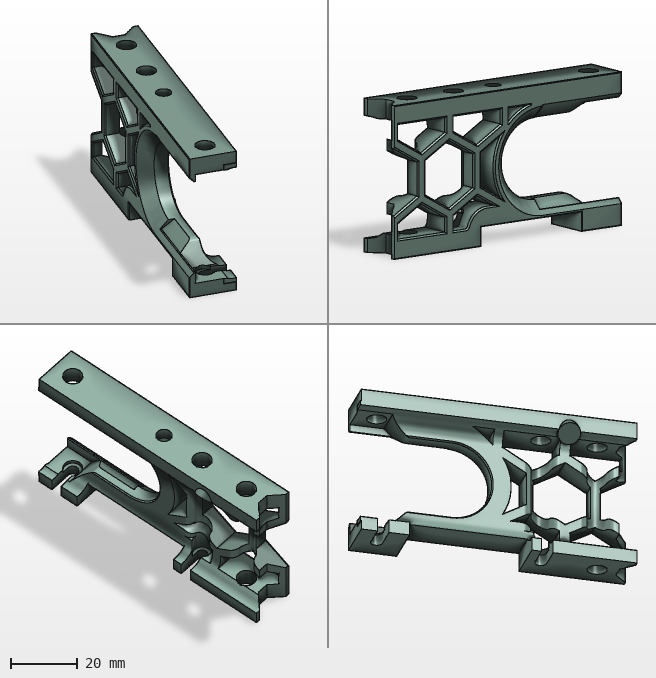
import cadquery as cq
import math

LENGTH = 85.75
DEPTH = 15.0
HEIGHT = 47.0
MID_Z = HEIGHT / 2
OVERRUN = 1.0
WINDOW_BEVEL = 0.5
OUTER_BEVEL = 0.25

WEB_DEPTH = 9.0
LOWER_RAIL = 4.25
UPPER_RAIL = 5.25
RECESS_RADIUS = 5.0

OPENING_X = 56.0
OPENING_RADIUS = 12.5
OPENING_FRONT_RADIUS = 16.75
CONE_DEPTH = OPENING_FRONT_RADIUS - OPENING_RADIUS
UPPER_ARM_FRONT_Z = 40.6
LEDGE_Y = 2.0
LEDGE_RISE = 1.5
SLOPE_END_Y = 6.15
ARM_END_X = 69.75
ARM_END_RADIUS = 2.5
BACK_BEVEL = 0.4
ARM_FLOOR_EXTRA = 0.35

CUTOUT_LEFT = 32.75
CUTOUT_RIGHT = 70.75
CUTOUT_HEIGHT = 6.0

CELL_PITCH = 21.0
CELL_WALL = 3.0
CELL_X = 20.75
WINDOW_LEFT = 1.5
WINDOW_BORDER = 6.0
RING_RADIUS = 18.5
SHELF_TOP = 12.0
BUMP_RADIUS = 7.5
BUMP_X = 35.0
BUMP_Z = SHELF_TOP - BUMP_RADIUS
FOOT_RADIUS = 1.0
POST_RIGHT = 22.5
WINDOW_RIGHT = 51.25

NOTCH_DEPTH = 4.0
NOTCH_HALF_MOUTH = 6.0

HOLE_Y = DEPTH / 2
HOLE_DIAMETER = 6.0
THROUGH_HOLE_X = 10.4
KEYHOLE_XS = (27.9, 78.9)
MOUTH_RADIUS = 2.5
KEYHOLE_FLOOR = 3.5
KEYHOLE_SLOT = 3.6
BLIND_HOLE_X = 42.9
BLIND_HOLE_DIAMETER = 4.8
BLIND_HOLE_DEPTH = 4.0

DISC_X = 20.9
DISC_DIAMETER = 7.0
DISC_LENGTH = 4.0
DISC_REACH_Y = 16.75

NIB_THICKNESS = 0.25
NIB_FRONT_Y = 11.0
NIB_HEIGHT = 1.4


def box(x0, x1, y0, y1, z0, z1):
    return cq.Workplane("XY").box(x1 - x0, y1 - y0, z1 - z0, centered=False).translate((x0, y0, z0))


def front_plane():
    """Plane parallel to the front, normal pointing to the back; local x is X, local y is -Z."""
    return cq.Workplane(cq.Plane(origin=(0, 0, 0), xDir=(1, 0, 0), normal=(0, 1, 0)))


def make_block():
    block = box(0, LENGTH, 0, DEPTH, 0, HEIGHT)
    block = block.cut(box(CUTOUT_LEFT, CUTOUT_RIGHT, 0, DEPTH, 0, CUTOUT_HEIGHT))
    front_edges = block.faces("<Y").edges("not(<X)").vals()
    return cq.Workplane(block.val().chamfer(OUTER_BEVEL, None, front_edges))


def make_nibs():
    def nib(z):
        return box(LENGTH, LENGTH + NIB_THICKNESS, NIB_FRONT_Y, DEPTH, z - NIB_HEIGHT, z + NIB_HEIGHT)

    return nib(LOWER_RAIL).union(nib(HEIGHT - UPPER_RAIL))


def make_recess():
    recess = box(-OVERRUN, LENGTH + OVERRUN, WEB_DEPTH, 2 * DEPTH, LOWER_RAIL, HEIGHT - UPPER_RAIL)
    return recess.faces("<Y").edges("|X").fillet(RECESS_RADIUS)


def make_opening():
    far = LENGTH + OVERRUN
    bevel_y = WEB_DEPTH - BACK_BEVEL
    round_end = (cq.Workplane("XY")
                 .polyline([(0, 0), (OPENING_FRONT_RADIUS, 0), (OPENING_RADIUS, CONE_DEPTH),
                            (OPENING_RADIUS, bevel_y), (OPENING_RADIUS + BACK_BEVEL, WEB_DEPTH),
                            (0, WEB_DEPTH)])
                 .close().revolve(360, (0, 0), (0, 1))
                 .translate((OPENING_X, 0, MID_Z)))
    low_front = MID_Z - OPENING_FRONT_RADIUS
    low = MID_Z - OPENING_RADIUS
    high = MID_Z + OPENING_RADIUS
    straight = (cq.Workplane("YZ", origin=(OPENING_X, 0, 0))
                .moveTo(0, low_front)
                .lineTo(LEDGE_RISE, low_front + LEDGE_RISE)
                .lineTo(LEDGE_Y, low_front + LEDGE_RISE)
                .lineTo(SLOPE_END_Y, low)
                .lineTo(bevel_y, low)
                .lineTo(WEB_DEPTH, low - BACK_BEVEL)
                .lineTo(WEB_DEPTH, high + BACK_BEVEL)
                .lineTo(bevel_y, high)
                .lineTo(UPPER_ARM_FRONT_Z - high, high)
                .lineTo(0, UPPER_ARM_FRONT_Z)
                .close().extrude(far - OPENING_X))
    return round_end.union(straight)


def make_arm_ends():
    """Space behind the front lips, where the arms thin down towards the right end."""
    far = LENGTH + OVERRUN
    low = MID_Z - OPENING_RADIUS
    high = MID_Z + OPENING_RADIUS
    floor = LOWER_RAIL + ARM_FLOOR_EXTRA
    ceiling = HEIGHT - UPPER_RAIL - ARM_FLOOR_EXTRA
    space = (cq.Workplane("XZ", origin=(0, DEPTH, 0))
             .moveTo(OPENING_X, low)
             .lineTo(ARM_END_X, low)
             .lineTo(ARM_END_X + low - floor, floor)
             .lineTo(far, floor)
             .lineTo(far, ceiling)
             .lineTo(ARM_END_X + ceiling - high, ceiling)
             .lineTo(ARM_END_X, high)
             .lineTo(OPENING_X, high)
             .close().extrude(DEPTH - LEDGE_Y))
    corners = cq.selectors.BoxSelector(
        (ARM_END_X - OVERRUN, 0, low - OVERRUN), (ARM_END_X + OVERRUN, DEPTH, high + OVERRUN))
    space = space.edges("|Y").edges(corners).fillet(ARM_END_RADIUS)
    lip_edge = UPPER_ARM_FRONT_Z - LEDGE_RISE
    lip_trim = box(ARM_END_X + lip_edge - high, far, LEDGE_RISE, DEPTH, MID_Z, lip_edge)
    return space.union(lip_trim)


def tapered(sketch, grow, depth):
    """Extrude a sketch so that its outline moves outward by grow (inward if negative) over depth."""
    return sketch.extrude(depth, taper=math.degrees(math.atan2(-grow, depth)))


def window_layer(margin, depth, shrink):
    """Honeycomb windows widened by margin at the front, narrowing by shrink over depth."""
    across_corners = (CELL_PITCH - CELL_WALL + 2 * margin) / math.cos(math.pi / 6)
    row_rise = CELL_PITCH * math.sqrt(3) / 2
    half = CELL_PITCH / 2

    def cells(points):
        layer = cq.Workplane()
        for x, z in points:
            hexagon = front_plane().center(x, -z).transformed(rotate=(0, 0, 30)).polygon(6, across_corners)
            layer = layer.add(tapered(hexagon, -shrink, depth))
        return layer.combine()

    middle = cells([(CELL_X + i * CELL_PITCH, MID_Z) for i in (-1, 0, 1)])
    rows = cells([(CELL_X + half + i * CELL_PITCH, MID_Z + side * row_rise)
                  for i in (-1, 0, 1) for side in (-1, 1)])

    def frame(left, right):
        outline = (front_plane().center((left + right) / 2, -MID_Z)
                   .rect(right - left + 2 * margin, HEIGHT - 2 * WINDOW_BORDER + 2 * margin))
        return tapered(outline, -shrink, depth)

    frames = frame(WINDOW_LEFT, CELL_X).union(frame(POST_RIGHT, WINDOW_RIGHT))
    ring = tapered(front_plane().center(OPENING_X, -MID_Z).circle(RING_RADIUS - margin), shrink, depth)
    bump = tapered(front_plane().center(BUMP_X, -BUMP_Z).circle(BUMP_RADIUS - margin), shrink, depth)
    shelf = tapered(front_plane().center(BUMP_X + half, -(SHELF_TOP - half))
                    .rect(CELL_PITCH, CELL_PITCH - 2 * margin), shrink, depth)
    shelf = shelf.intersect(box(BUMP_X, LENGTH, 0, DEPTH, -HEIGHT, HEIGHT))
    foot = foot_layer(margin, depth, shrink)
    return middle.union(rows.intersect(frames)).cut(ring).cut(bump).cut(shelf).cut(foot)


def foot_layer(margin, depth, shrink):
    """Concave fillet between the window floor and the round left side of the bump."""
    foot_z = WINDOW_BORDER + FOOT_RADIUS
    foot_x = BUMP_X - math.sqrt((BUMP_RADIUS + FOOT_RADIUS) ** 2 - (foot_z - BUMP_Z) ** 2)
    wedge = (front_plane()
             .polyline([(foot_x, 0), (foot_x, -foot_z), (BUMP_X, -BUMP_Z), (BUMP_X, 0)])
             .close().extrude(depth))
    hollow = front_plane().center(foot_x, -foot_z).circle(FOOT_RADIUS + margin)
    return wedge.cut(tapered(hollow, -shrink, depth))


def make_notch():
    inner = NOTCH_HALF_MOUTH - NOTCH_DEPTH
    return (cq.Workplane("XY")
            .moveTo(0, HOLE_Y - NOTCH_HALF_MOUTH)
            .lineTo(NOTCH_DEPTH, HOLE_Y - inner)
            .lineTo(NOTCH_DEPTH, HOLE_Y + inner)
            .lineTo(0, HOLE_Y + NOTCH_HALF_MOUTH)
            .close().extrude(HEIGHT))


def vertical_hole(x, diameter, bottom, top):
    return cq.Workplane("XY", origin=(x, HOLE_Y, bottom)).circle(diameter / 2).extrude(top - bottom)


def make_holes():
    holes = vertical_hole(THROUGH_HOLE_X, HOLE_DIAMETER, 0, HEIGHT)
    holes = holes.union(vertical_hole(BLIND_HOLE_X, BLIND_HOLE_DIAMETER, HEIGHT - BLIND_HOLE_DEPTH, HEIGHT))
    for x in KEYHOLE_XS:
        holes = holes.union(vertical_hole(x, HOLE_DIAMETER, KEYHOLE_FLOOR, HEIGHT))
        holes = holes.union(vertical_hole(x, KEYHOLE_SLOT, 0, KEYHOLE_FLOOR))
        half = KEYHOLE_SLOT / 2
        holes = holes.union(box(x - half, x + half, HOLE_Y, DEPTH, 0, CUTOUT_HEIGHT))
    return holes


def make_hole_reliefs():
    """Rounded mouths where the left two holes break out through the back of the web."""
    radius = HOLE_DIAMETER / 2
    round_y = WEB_DEPTH - MOUTH_RADIUS
    reach = math.sqrt((radius + MOUTH_RADIUS) ** 2 - (round_y - HOLE_Y) ** 2)
    bottom = LOWER_RAIL + RECESS_RADIUS
    top = HEIGHT - UPPER_RAIL - RECESS_RADIUS
    reliefs = cq.Workplane()
    for x in (THROUGH_HOLE_X, KEYHOLE_XS[0]):
        mouth = (cq.Workplane("XY", origin=(0, 0, bottom))
                 .polyline([(x - reach, WEB_DEPTH), (x - reach, round_y), (x, HOLE_Y),
                            (x + reach, round_y), (x + reach, WEB_DEPTH)])
                 .close().extrude(top - bottom))
        for side in (-1, 1):
            rounding = (cq.Workplane("XY", origin=(x + side * reach, round_y, bottom))
                        .circle(MOUTH_RADIUS).extrude(top - bottom))
            mouth = mouth.cut(rounding)
        reliefs = reliefs.add(mouth)
    return reliefs.combine()


def make_disc():
    """Disc tilted 45 degrees, its end face passing through the back edge of the upper rail."""
    center_y = DISC_REACH_Y - DISC_DIAMETER / 2 * math.sin(math.pi / 4)
    center_z = HEIGHT - UPPER_RAIL - (DEPTH - center_y)
    return cq.Workplane(cq.Solid.makeCylinder(
        DISC_DIAMETER / 2, DISC_LENGTH, cq.Vector(DISC_X, center_y, center_z), cq.Vector(0, -1, 1)))


result = make_block().union(make_nibs())
result = result.cut(make_recess()).cut(make_opening()).cut(make_arm_ends())
result = result.cut(window_layer(0, DEPTH, 0))
result = result.cut(window_layer(WINDOW_BEVEL, WINDOW_BEVEL, WINDOW_BEVEL))
result = result.cut(make_hole_reliefs()).union(make_disc()).cut(make_notch()).cut(make_holes())